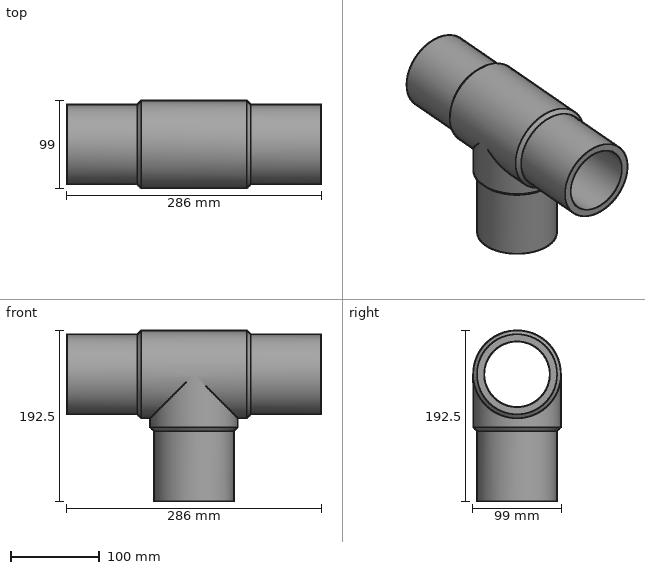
import cadquery as cq

run_length = 286.0
pipe_diameter = 90.0
bore_diameter = 73.5
collar_diameter = 99.0
collar_reach = 63.8

arm_length = run_length / 2
collar_chamfer = (collar_diameter - pipe_diameter) / 2


def cylinder(diameter, length, direction):
    """Cylinder starting at the tee centre and extending along direction."""
    return cq.Workplane(
        cq.Solid.makeCylinder(diameter / 2, length, cq.Vector(0, 0, 0), cq.Vector(*direction))
    )


def run_cylinder(diameter, length):
    """Cylinder along X, centred on the tee."""
    return cq.Workplane("YZ", origin=(-length / 2, 0, 0)).circle(diameter / 2).extrude(length)


branch_direction = (0, 0, -1)
run_collar = run_cylinder(collar_diameter, 2 * collar_reach).edges("%CIRCLE").chamfer(collar_chamfer)
branch_collar = cylinder(collar_diameter, collar_reach, branch_direction)
branch_collar = branch_collar.faces("<Z").edges().chamfer(collar_chamfer)

run_pipe = run_cylinder(pipe_diameter, run_length)
branch_pipe = cylinder(pipe_diameter, arm_length, branch_direction)

run_bore = run_cylinder(bore_diameter, run_length)
branch_bore = cylinder(bore_diameter, arm_length, branch_direction)

body = run_collar.union(branch_collar).union(run_pipe).union(branch_pipe)
result = body.cut(run_bore.union(branch_bore))